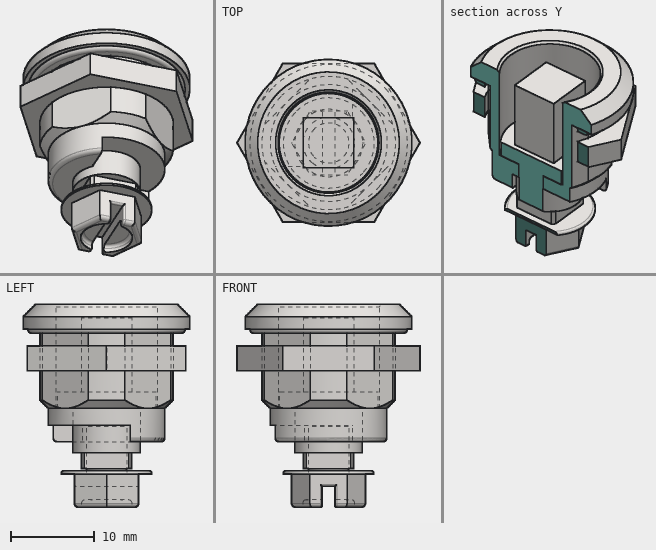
import cadquery as cq
import math


flange_diameter = 20.0
flange_height = 3.0
flange_chamfer = 1.5
barrel_diameter = 16.0
barrel_across_flats = 14.0
barrel_end_depth = 12.5
barrel_chamfer = (barrel_diameter - barrel_across_flats) / 2

skirt_diameter = barrel_across_flats
skirt_end_depth = 16.5
skirt_fillet = 0.5
stop_ledge_depth = 14.51
stop_offset = 2.82

bore_diameter = 12.1
bore_floor_depth = barrel_end_depth
bore_chamfer = 0.3
shaft_diameter = 8.1

gasket_outer_diameter = 18.85
gasket_thickness = 0.5
gasket_fillet = 0.46

nut_across_corners = 21.95
nut_top_depth = 5.0
nut_thickness = 3.0

core_disc_diameter = 11.8
core_disc_thickness = 2.0
square_side = 6.0
key_top_depth = 1.65
shaft_end_depth = 17.82
drive_end_depth = 19.7
drive_corner_diameter = 7.99

washer_diameter = 10.85
washer_top_depth = 19.95
washer_thickness = 0.41
washer_fillet = 0.32
screw_end_depth = 24.35
screw_shank_diameter = 4.82
screw_shank_end_depth = 14.6
screw_across_corners = 8.89
screw_fillet = 0.5
slot_width = 1.5
slot_depth = 2.5
slot_fillet = 0.25
end_recess_diameter = 6.18
end_recess_depth = 0.95
end_recess_fillet = 0.4


def cylinder(diameter, top_depth, end_depth):
    """Cylinder on the lock axis between two depths."""
    return cq.Workplane("XY").workplane(offset=-end_depth).circle(diameter / 2).extrude(end_depth - top_depth)


def hexagon(across_corners, top_depth, end_depth):
    """Hexagonal prism on the lock axis with two corners on X."""
    return (
        cq.Workplane("XY").workplane(offset=-end_depth)
        .polygon(6, across_corners).extrude(end_depth - top_depth)
    )


def square_prism(side, top_depth, end_depth):
    """Square prism on the lock axis with sides along X and Y."""
    return cq.Workplane("XY").workplane(offset=-end_depth).rect(side, side).extrude(end_depth - top_depth)


def make_barrel():
    """Round barrel with four diagonal flats and a chamfered lower end."""
    barrel = cylinder(barrel_diameter, flange_height, barrel_end_depth).faces("<Z").chamfer(barrel_chamfer)
    flats = square_prism(barrel_across_flats, flange_height, barrel_end_depth)
    return barrel.intersect(flats.rotate((0, 0, 0), (0, 0, 1), 45))


def make_skirt():
    """Round skirt whose lower part is cut back on the -X +Y side as a rotation stop."""
    skirt = cylinder(skirt_diameter, barrel_end_depth, skirt_end_depth)
    skirt = skirt.faces("<Z").edges().fillet(skirt_fillet)
    stop_cut = (
        cq.Workplane("XY").workplane(offset=-skirt_end_depth)
        .center(stop_offset, -stop_offset)
        .rect(-skirt_diameter, skirt_diameter, centered=False)
        .extrude(skirt_end_depth - stop_ledge_depth)
    )
    return skirt.cut(stop_cut)


def make_housing():
    """Flange, barrel and stop skirt with a stepped bore."""
    flange = cylinder(flange_diameter, 0, flange_height).faces(">Z").chamfer(flange_chamfer)
    bore = cylinder(bore_diameter, 0, bore_floor_depth)
    shaft_hole = cylinder(shaft_diameter, bore_floor_depth, skirt_end_depth)
    housing = flange.union(make_barrel()).union(make_skirt()).cut(bore).cut(shaft_hole)
    return housing.faces(">Z").edges(cq.selectors.RadiusNthSelector(0)).chamfer(bore_chamfer)


def make_gasket():
    """Flat ring against the flange with a rounded lower outer edge."""
    gasket_end_depth = flange_height + gasket_thickness
    ring = cylinder(gasket_outer_diameter, flange_height, gasket_end_depth)
    ring = ring.faces("<Z").edges().fillet(gasket_fillet)
    return ring.cut(cylinder(barrel_diameter, flange_height, gasket_end_depth))


def make_nut():
    """Plain hexagon nut around the barrel."""
    nut_end_depth = nut_top_depth + nut_thickness
    nut = hexagon(nut_across_corners, nut_top_depth, nut_end_depth)
    return nut.cut(cylinder(barrel_diameter, nut_top_depth, nut_end_depth))


def make_core():
    """Square key, bearing disc, round shaft and square drive end with a screw hole."""
    disc_top_depth = bore_floor_depth - core_disc_thickness
    key = square_prism(square_side, key_top_depth, disc_top_depth)
    disc = cylinder(core_disc_diameter, disc_top_depth, bore_floor_depth)
    shaft = cylinder(shaft_diameter, bore_floor_depth, shaft_end_depth)
    drive = square_prism(square_side, shaft_end_depth, drive_end_depth)
    drive = drive.intersect(cylinder(drive_corner_diameter, shaft_end_depth, drive_end_depth))
    screw_hole = cylinder(screw_shank_diameter, screw_shank_end_depth, drive_end_depth)
    return key.union(disc).union(shaft).union(drive).cut(screw_hole)


def make_washer():
    """Thin washer with a rounded upper outer edge."""
    washer_end_depth = washer_top_depth + washer_thickness
    washer = cylinder(washer_diameter, washer_top_depth, washer_end_depth)
    washer = washer.faces(">Z").edges().fillet(washer_fillet)
    return washer.cut(cylinder(screw_shank_diameter, washer_top_depth, washer_end_depth))


def round_slot_rim(head, across_flats):
    """Round every rim of the slot and leave the two corners between its floor and walls sharp."""
    slot_floor = slot_depth - screw_end_depth
    rim_reach = slot_width / 2 + slot_fillet / 2
    slot_edges = cq.selectors.BoxSelector(
        (-rim_reach, -across_flats, -screw_end_depth - slot_fillet),
        (rim_reach, across_flats, slot_floor + slot_fillet),
        boundingbox=True,
    )
    floor_corners = cq.selectors.BoxSelector(
        (-slot_width, -slot_fillet, slot_floor - slot_fillet),
        (slot_width, slot_fillet, slot_floor + slot_fillet),
    )
    return head.edges(slot_edges - floor_corners).fillet(slot_fillet)


def make_screw():
    """Hexagon screw whose rounded end has a round recess and a slot along Y with rounded rims."""
    head_top_depth = washer_top_depth + washer_thickness
    across_flats = screw_across_corners * math.cos(math.pi / 6)
    head = hexagon(screw_across_corners, head_top_depth, screw_end_depth)
    head = head.faces("<Z").edges().fillet(screw_fillet)
    slot = (
        cq.Workplane("XY").workplane(offset=-screw_end_depth)
        .rect(slot_width, across_flats).extrude(slot_depth)
    )
    head = round_slot_rim(head.cut(slot), across_flats)
    end_recess = cylinder(end_recess_diameter, screw_end_depth - end_recess_depth, screw_end_depth)
    end_recess = end_recess.faces(">Z").edges().fillet(end_recess_fillet)
    shank = cylinder(screw_shank_diameter, screw_shank_end_depth, head_top_depth)
    return head.cut(end_recess).union(shank)


housing = make_housing()
gasket = make_gasket()
nut = make_nut()
core = make_core()
washer = make_washer()
screw = make_screw()

result = cq.Compound.makeCompound([
    housing.val(), gasket.val(), nut.val(), core.val(), washer.val(), screw.val(),
])